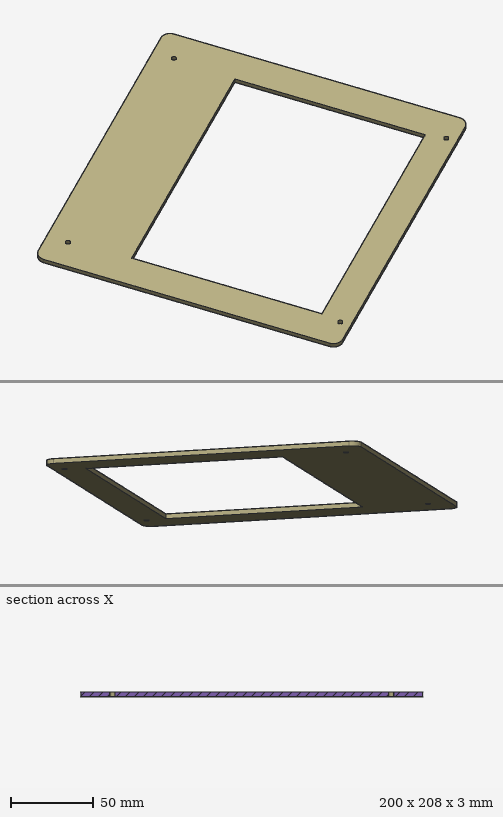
import cadquery as cq

plate_width = 200.0
plate_height = 208.0
plate_thickness = 3.0
corner_radius = 6.0

window_width = 125.0
window_height = 165.0
window_center_x = 17.5

hole_diameter = 3.0
hole_spacing_x = 179.0
hole_spacing_y = 169.5
hole_center_x = 3.5


def make_plate():
    """Flat plate with rounded corners."""
    blank = cq.Workplane("XY").box(
        plate_width, plate_height, plate_thickness, centered=(True, True, False)
    )
    return blank.edges("|Z").fillet(corner_radius)


def make_window():
    """Block that fills the window through the full plate thickness."""
    return (
        cq.Workplane("XY")
        .center(window_center_x, 0)
        .rect(window_width, window_height)
        .extrude(plate_thickness)
    )


def make_mounting_holes():
    """Four cylinders that fill the mounting holes."""
    return (
        cq.Workplane("XY")
        .center(hole_center_x, 0)
        .rarray(hole_spacing_x, hole_spacing_y, 2, 2)
        .circle(hole_diameter / 2)
        .extrude(plate_thickness)
    )


result = make_plate().cut(make_window()).cut(make_mounting_holes())